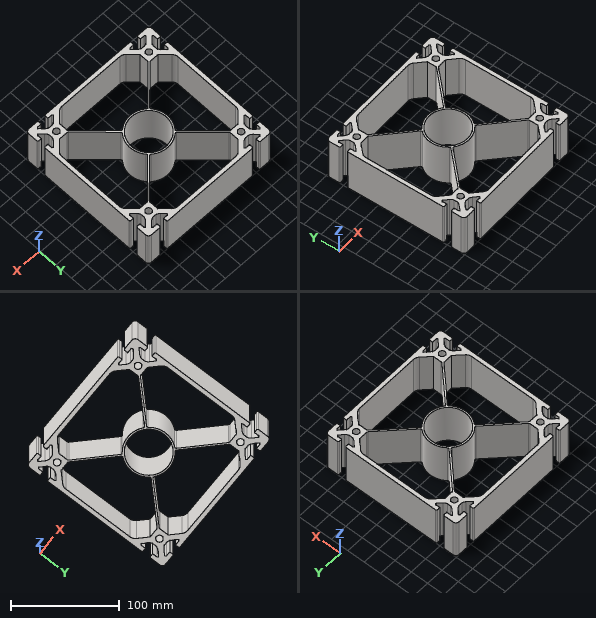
import cadquery as cq
import math

SIDE = 160.0
LENGTH = 50.0
CORNER_RADIUS = 4.0
WALL = 4.6

SLOT_OFFSET = 20.0
SLOT_WIDTH = 8.3
SLOT_DEPTH = 12.5
SLOT_FLOOR_WIDTH = 4.0
SLOT_FLOOR_RADIUS = 8.0
SLOT_TIP_RADIUS = 1.0
LIP_RADIUS = 1.3

BLOCK_HALF_WIDTH = 7.8
BLOCK_SHOULDER = 16.0
CORE_HOLE_DIAMETER = 6.9
CAVITY_RADIUS = 8.0

TUBE_OUTER_DIAMETER = 48.8
TUBE_INNER_DIAMETER = 44.8
WEB_THICKNESS = 2.0
TUBE_ROOT_RADIUS = 1.5
BLOCK_ROOT_RADIUS = 2.0

QUARTER_TURNS = (0, 90, 180, 270)
DIAGONAL_ANGLE = 45
DIAGONAL = math.radians(DIAGONAL_ANGLE)

half_side = SIDE / 2
slot_center = half_side - SLOT_OFFSET


def turned(shape, angle):
    """Turn a shape about the extrusion axis."""
    return shape.rotate((0, 0, 0), (0, 0, 1), angle)


def outer_block():
    return cq.Workplane("XY").rect(SIDE, SIDE).extrude(LENGTH).edges("|Z").fillet(CORNER_RADIUS)


def main_cavity():
    """Single inner opening: a square whose corners step around the corner blocks."""
    wall_face = half_side - WALL
    block_face = slot_center - BLOCK_HALF_WIDTH
    shoulder = half_side - BLOCK_SHOULDER
    ramp_start = block_face - (wall_face - shoulder)
    quarter_outline = [
        (wall_face, ramp_start),
        (shoulder, block_face),
        (block_face, block_face),
        (block_face, shoulder),
        (ramp_start, wall_face),
    ]
    points = []
    for angle in QUARTER_TURNS:
        c = math.cos(math.radians(angle))
        s = math.sin(math.radians(angle))
        points += [(x * c - y * s, x * s + y * c) for x, y in quarter_outline]
    cavity = cq.Workplane("XY").polyline(points).close().extrude(LENGTH)
    upright = cq.selectors.ParallelDirSelector(cq.Vector(0, 0, 1))
    reach = (shoulder + wall_face) / 2
    block_zone = cq.selectors.BoxSelector((-reach, -reach, 0), (reach, reach, LENGTH))
    return cavity.edges(upright - block_zone).fillet(CAVITY_RADIUS)


def slot_undercut():
    """Slot chamber on the +Y face, centred on X = 0: 45-degree flanks, rounded floor with a central flat."""
    roof = half_side - WALL
    floor = half_side - SLOT_DEPTH
    floor_x = SLOT_FLOOR_WIDTH / 2
    arc_center_y = floor + math.sqrt(SLOT_FLOOR_RADIUS**2 - floor_x**2)
    floor_angle = math.asin(floor_x / SLOT_FLOOR_RADIUS)
    bend_angle = (floor_angle + DIAGONAL) / 2
    flank_x = SLOT_FLOOR_RADIUS * math.sin(DIAGONAL)
    flank_y = arc_center_y - SLOT_FLOOR_RADIUS * math.cos(DIAGONAL)
    bend_x = SLOT_FLOOR_RADIUS * math.sin(bend_angle)
    bend_y = arc_center_y - SLOT_FLOOR_RADIUS * math.cos(bend_angle)
    tip_x = flank_x + roof - flank_y
    return (
        cq.Workplane("XY")
        .moveTo(-tip_x, roof)
        .lineTo(-flank_x, flank_y)
        .threePointArc((-bend_x, bend_y), (-floor_x, floor))
        .lineTo(floor_x, floor)
        .threePointArc((bend_x, bend_y), (flank_x, flank_y))
        .lineTo(tip_x, roof)
        .close()
        .extrude(LENGTH)
        .edges("|Z and (<X or >X)")
        .fillet(SLOT_TIP_RADIUS)
    )


def slot_mouth():
    """Opening between the two lips, flared where it rounds over onto the +Y face."""
    half_width = SLOT_WIDTH / 2
    flare = half_width + LIP_RADIUS
    round_end = half_side - LIP_RADIUS
    arc_in = LIP_RADIUS * (1 - math.sin(DIAGONAL))
    return (
        cq.Workplane("XY")
        .moveTo(-half_width, half_side - WALL)
        .lineTo(-half_width, round_end)
        .threePointArc((-half_width - arc_in, half_side - arc_in), (-flare, half_side))
        .lineTo(flare, half_side)
        .threePointArc((half_width + arc_in, half_side - arc_in), (half_width, round_end))
        .lineTo(half_width, half_side - WALL)
        .close()
        .extrude(LENGTH)
    )


def solid_tube():
    return cq.Workplane("XY").circle(TUBE_OUTER_DIAMETER / 2).extrude(LENGTH)


def diagonal_web():
    """One straight web joining two opposite corner blocks through the axis."""
    length = 2 * math.hypot(slot_center, slot_center) - CORE_HOLE_DIAMETER
    return turned(cq.Workplane("XY").rect(length, WEB_THICKNESS).extrude(LENGTH), DIAGONAL_ANGLE)


def web_roots(shape, offset):
    """Upright edges on both sides of all four webs, around the points (+-offset, +-offset)."""
    zones = []
    for x in (-offset, offset):
        for y in (-offset, offset):
            low = (x - WEB_THICKNESS, y - WEB_THICKNESS, 0)
            high = (x + WEB_THICKNESS, y + WEB_THICKNESS, LENGTH)
            zones.append(cq.selectors.BoxSelector(low, high))
    any_zone = zones[0] + zones[1] + zones[2] + zones[3]
    return shape.edges("|Z").edges(any_zone)


frame = outer_block().cut(main_cavity())
web = diagonal_web()
frame = frame.union(web).union(turned(web, 90))
frame = frame.union(solid_tube())

tube_root_offset = TUBE_OUTER_DIAMETER / 2 * math.cos(DIAGONAL)
block_root_offset = slot_center - BLOCK_HALF_WIDTH
frame = web_roots(frame, tube_root_offset).fillet(TUBE_ROOT_RADIUS)
frame = web_roots(frame, block_root_offset).fillet(BLOCK_ROOT_RADIUS)

slot = slot_undercut().union(slot_mouth())
for angle in QUARTER_TURNS:
    for x in (-slot_center, slot_center):
        frame = frame.cut(turned(slot.translate((x, 0, 0)), angle))

tube_bore = cq.Workplane("XY").circle(TUBE_INNER_DIAMETER / 2).extrude(LENGTH)
core_holes = (
    cq.Workplane("XY")
    .rect(2 * slot_center, 2 * slot_center, forConstruction=True)
    .vertices()
    .circle(CORE_HOLE_DIAMETER / 2)
    .extrude(LENGTH)
)
result = frame.cut(tube_bore).cut(core_holes)